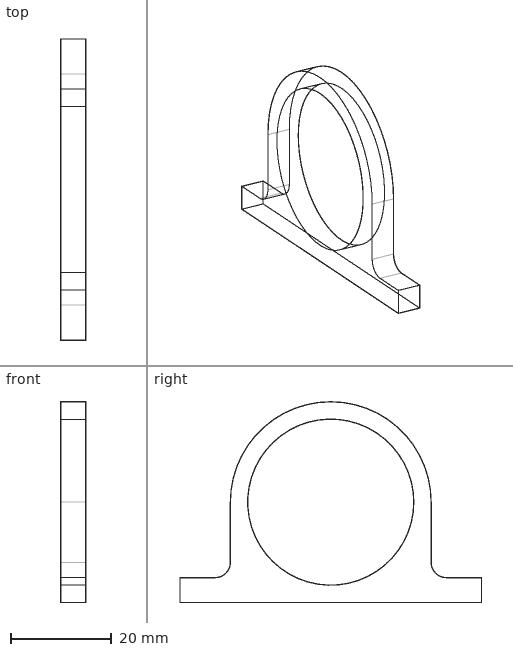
import cadquery as cq

thickness = 5.0
base_length = 60.0
base_height = 5.0
total_height = 40.0
arch_width = 40.0
bore_diameter = 33.0
fillet_radius = 3.0

arch_radius = arch_width / 2
bore_center_z = total_height - arch_radius


def make_profile_body():
    """Flat base with a round-topped arch, extruded along X and centred on it."""
    half_base = base_length / 2
    return (
        cq.Workplane("YZ", origin=(-thickness / 2, 0, 0))
        .moveTo(-half_base, 0)
        .lineTo(half_base, 0)
        .lineTo(half_base, base_height)
        .lineTo(arch_radius, base_height)
        .lineTo(arch_radius, bore_center_z)
        .threePointArc((0, total_height), (-arch_radius, bore_center_z))
        .lineTo(-arch_radius, base_height)
        .lineTo(-half_base, base_height)
        .close()
        .extrude(thickness)
    )


def fillet_arch_roots(body):
    """Round the two inside corners between the arch sides and the feet."""
    for y in (-arch_radius, arch_radius):
        corner = cq.selectors.NearestToPointSelector((0, y, base_height))
        body = body.edges("|X").edges(corner).fillet(fillet_radius)
    return body


def make_bore():
    """Cylinder that cuts the round opening through the full thickness."""
    return (
        cq.Workplane("YZ", origin=(-thickness / 2, 0, bore_center_z))
        .circle(bore_diameter / 2)
        .extrude(thickness)
    )


result = fillet_arch_roots(make_profile_body()).cut(make_bore())